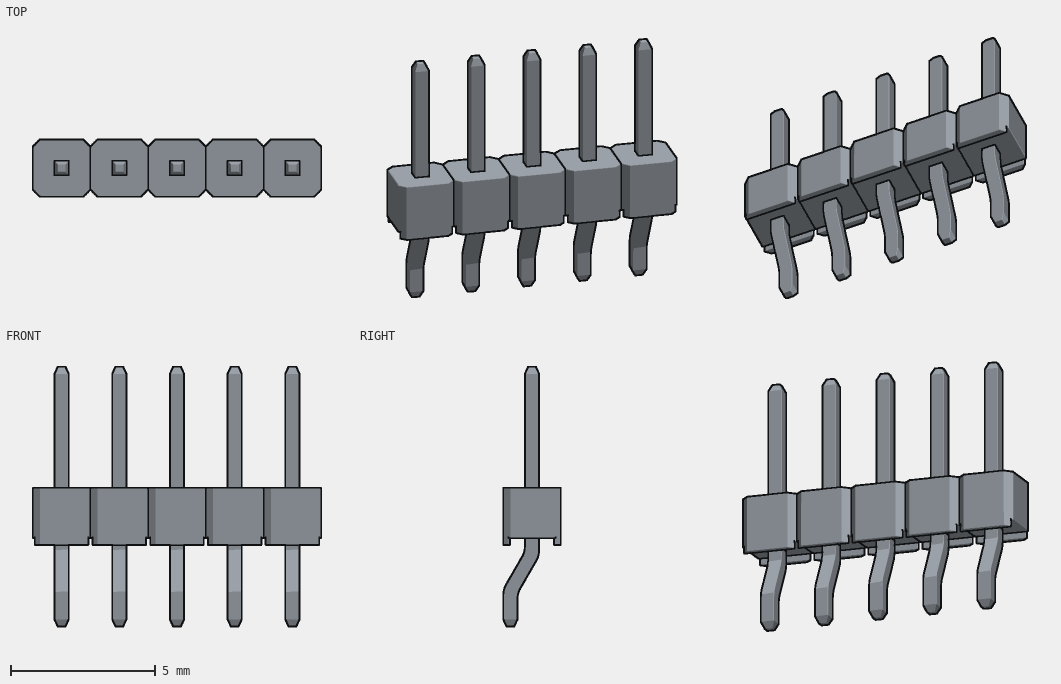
import cadquery as cq
import math

position_count = 5
pitch = 2.0

housing_size = 2.0
housing_height = 2.0
corner_chamfer = 0.25
channel_depth = 0.24
channel_width = 1.52
housing_edge_radius = 0.04

pin_width = 0.5
pin_top = 6.19
pin_bottom = -2.82
tip_length = 0.25
tip_width = 0.27
pin_edge_radius = 0.022
tail_offset = (housing_size - pin_width) / 2
crank_angle = math.radians(30)
crank_start = -0.3
crank_end = crank_start - tail_offset / math.tan(crank_angle)
bend_radius = 0.75


def edges_outside(z_low, z_high):
    """Select all edges except those centred on X = 0 between the two heights."""
    reach = pin_width / 4
    zone = cq.selectors.BoxSelector(
        (-reach, -housing_size, z_low),
        (reach, housing_size, z_high),
    )
    return cq.selectors.InverseSelector(zone)


def make_housing():
    """Block with cut corners, a channel along X underneath and rounded outer edges."""
    block = (
        cq.Workplane("XY")
        .rect(housing_size, housing_size)
        .extrude(housing_height)
        .edges("|Z")
        .chamfer(corner_chamfer)
    )
    channel = cq.Workplane("XY").rect(housing_size, channel_width).extrude(channel_depth)
    block = block.cut(channel)
    outer_edges = edges_outside(channel_depth / 2, channel_depth * 2)
    return block.edges(outer_edges).fillet(housing_edge_radius)


def taper_end(wire, end_z, end_y, inward):
    """Replace the last tip_length of the wire by a frustum; inward is +1 or -1 along Z."""
    outward_length = -inward * tip_length
    shoulder = cq.Workplane("XY", origin=(0, end_y, end_z - outward_length))
    stub = shoulder.rect(pin_width, pin_width).extrude(outward_length)
    frustum = (
        shoulder.rect(pin_width, pin_width)
        .workplane(offset=outward_length)
        .rect(tip_width, tip_width)
        .loft(ruled=True)
    )
    return wire.cut(stub).union(frustum)


def make_pin():
    """Square wire, cranked towards -Y below the housing and tapered at both ends."""
    half = pin_width / 2
    miter = half * math.tan(crank_angle / 2)
    outline = [
        (-half, pin_top),
        (half, pin_top),
        (half, crank_start - miter),
        (half - tail_offset, crank_end - miter),
        (half - tail_offset, pin_bottom),
        (-half - tail_offset, pin_bottom),
        (-half - tail_offset, crank_end + miter),
        (-half, crank_start + miter),
    ]
    wire = cq.Workplane("YZ").polyline(outline).close().extrude(half, both=True)
    crank_zone = cq.selectors.BoxSelector(
        (-pin_width, -housing_size, crank_end - pin_width),
        (pin_width, housing_size, crank_start + pin_width),
    )
    wire = wire.edges("|X").edges(crank_zone).fillet(bend_radius)
    wire = taper_end(wire, pin_top, 0, -1)
    wire = taper_end(wire, pin_bottom, -tail_offset, 1)
    sharp_edges = edges_outside(pin_bottom + 2 * tip_length, pin_top - 2 * tip_length)
    return wire.edges(sharp_edges).fillet(pin_edge_radius)


pin = make_pin()
housing = make_housing().cut(pin)

bodies = []
for index in range(position_count):
    x = pitch * (index - (position_count - 1) / 2)
    bodies.append(housing.translate((x, 0, 0)).solids().val())
    bodies.append(pin.translate((x, 0, 0)).solids().val())

result = cq.Compound.makeCompound(bodies)